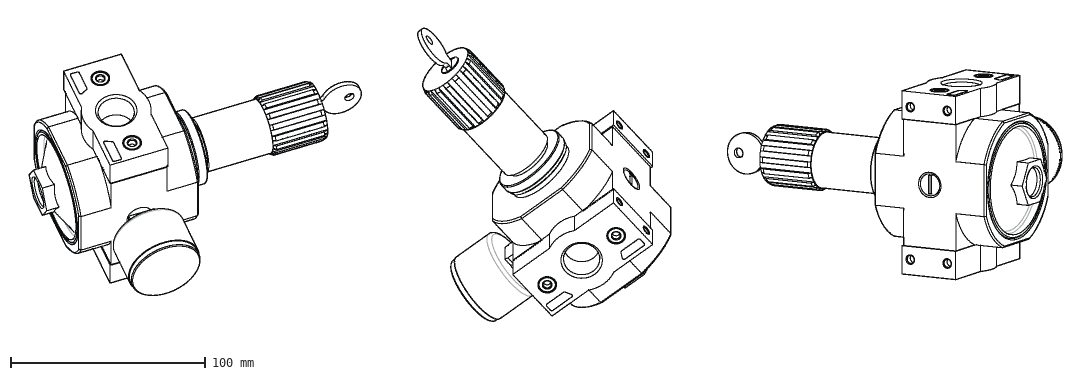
import cadquery as cq
import math


TOTAL_X = 106.1
TOTAL_Y = 179.0

HOUSING_SIDE = 66.2
HALF_SIDE = HOUSING_SIDE / 2
HOUSING_LENGTH = 65.9
HALF_LENGTH = HOUSING_LENGTH / 2
HOUSING_CORNER_DIA = 71.6
HOUSING_EDGE_CHAMFER = 0.9
CENTRE_BLOCK_WIDTH = 30.8

PORT_DIA = 18.6
PORT_MOUTH_DIA = 21.3

CAP_GROOVE_OUTER_R = 30.8
CAP_RIM_R = 29.5
CAP_GROOVE_DEPTH = 0.7
CAP_RECESS_R = 28.1
CAP_RECESS_FILLET = 0.9
CAP_FACE_R = 18.8
CAP_SLOPE = math.tan(math.radians(30))
HEX_FLATS = 22.2
HEX_CORNER_DIA = HEX_FLATS / math.cos(math.pi / 6)
HEX_END_Y = -43.1
HEX_RECESS_DIA = 17.0
HEX_RECESS_BORE_DIA = 15.2
HEX_RECESS_DEPTH = 2.9

BASE_R = 18.5
BASE_TOP = 35.8
STEP_R = 19.2
STEP_TOP = 37.6
COLLAR_R = 19.9
COLLAR_TOP = 43.0
COLLAR_CHAMFER = 0.5
NECK_R = 12.5
NECK_TOP = 45.5
SLEEVE_R = 14.5

KNOB_BOTTOM = 80.7
KNOB_TOP = 110.8
KNOB_ROOT_R = 15.0
KNOB_RIB_R = 16.0
RIB_COUNT = 16
RIB_WIDTH = 2.9
RIB_CHAMFER_LENGTH_BOTTOM = 1.5
RIB_CHAMFER_LENGTH_TOP = 2.1
LOCK_DIA = 11.0
LOCK_X = -3.4
LOCK_TOP = 111.3

KEY_THICKNESS = 2.5
KEY_TOP = HEX_END_Y + TOTAL_Y
KEY_HEAD_R = 10.7
KEY_HOLE_DIA = 5.0
KEY_HOLE_Y = 129.2
KEY_NECK_TOP_Z = 3.4
KEY_NECK_BOTTOM_Z = -4.3
KEY_FLARE_LENGTH = 1.6
KEY_FLARE_DROP = 1.6
KEY_NECK_FILLET = 2.7

PLATE_THICKNESS = 14.9
PLATE_LEFT_X = -34.2
PLATE_RIGHT_X = 32.8
PLATE_WIDTH = 31.9
PLATE_BOSS_DIA = 36.0
PLATE_OUTER_Z = HALF_SIDE + PLATE_THICKNESS
SIDE_HOLE_Y = 11.0
SIDE_HOLE_Z = 40.0
LABEL_BOTTOM_Y = -13.6
LABEL_HEIGHT = 4.8
LABEL_LENGTH = 14.9
LABEL_SLANT = 2.5
LABEL_INNER_X = 16.3
LABEL_FILLET = 0.9
LABEL_DEPTH = 0.2

SCREW_X = 23.0
SCREW_DIA = 8.8
SCREW_TIP_DIA = 8.5
SCREW_MOUTH_DIA = 9.7

SOCKET_MOUTH_DIA = 5.0
SOCKET_DIA = 4.1
SOCKET_DEPTH = 3.5
DRILL_POINT_ANGLE = 118.0

PLUG_DIA = 11.5
PLUG_MOUTH_DIA = 13.2
PLUG_MOUTH_DEPTH = 0.4
PLUG_FACE_X = -HALF_SIDE + PLUG_MOUTH_DEPTH
PLUG_LENGTH = 9.0
PLUG_SLOT_WIDTH = 1.6
PLUG_SLOT_LENGTH = 9.7
PLUG_SLOT_DEPTH = 1.5

GAUGE_STEM_R = 6.6
GAUGE_BLOCK_WIDTH_Y = 14.0
GAUGE_BLOCK_WIDTH_Z = 13.5
GAUGE_BLOCK_START = 36.3
GAUGE_BLOCK_CHAMFER_LENGTH = 2.0
GAUGE_BLOCK_CHAMFER_HEIGHT = 0.7
GAUGE_CASE_START = 45.3
GAUGE_CASE_R = 19.5
GAUGE_CASE_FILLET = 1.8
GAUGE_BEZEL_START = 68.7
GAUGE_BEZEL_R = 19.0
GAUGE_BEZEL_CHAMFER = 0.5
GAUGE_END = PLATE_LEFT_X + TOTAL_X


def revolve_about_y(points):
    """Solid of revolution about Y from (radius, y) points."""
    return cq.Workplane("XY").polyline(points).close().revolve(360, (0, 0), (0, 1))


def revolve_about_x(points):
    """Solid of revolution about X from (x, radius) points."""
    return cq.Workplane("XY").polyline(points).close().revolve(360, (0, 0), (1, 0))


def tapered_hole(mouth_dia, floor_dia, depth):
    """Cone cutter with its mouth on Z = 0, narrowing downwards."""
    return (
        cq.Workplane("XY").circle(mouth_dia / 2)
        .workplane(offset=-depth).circle(floor_dia / 2).loft()
    )


def mouth_chamfer(mouth_dia, bore_dia):
    """45 degree cutter for the mouth of a bore, with the mouth on Z = 0."""
    return tapered_hole(mouth_dia, bore_dia, (mouth_dia - bore_dia) / 2)


def drilled_socket():
    """Cutter for a small chamfered blind hole going down from Z = 0 to a drill point."""
    mouth_r = SOCKET_MOUTH_DIA / 2
    bore_r = SOCKET_DIA / 2
    point_depth = bore_r / math.tan(math.radians(DRILL_POINT_ANGLE / 2))
    profile = [
        (0, 0), (mouth_r, 0), (bore_r, bore_r - mouth_r),
        (bore_r, -SOCKET_DEPTH), (0, -SOCKET_DEPTH - point_depth),
    ]
    return cq.Workplane("XZ").polyline(profile).close().revolve(360, (0, 0), (0, 1))


def cone_y(radius):
    """Height of the bottom cap's cone at a radius."""
    return -HALF_LENGTH - (CAP_FACE_R - radius) * CAP_SLOPE


def make_housing():
    rounded = (
        cq.Workplane("XZ").circle(HOUSING_CORNER_DIA / 2).extrude(HALF_LENGTH, both=True)
        .intersect(cq.Workplane("XY").box(HOUSING_SIDE, HOUSING_LENGTH, HOUSING_SIDE))
        .faces("<Y or >Y").chamfer(HOUSING_EDGE_CHAMFER)
    )
    centre_block = cq.Workplane("XY").box(HOUSING_SIDE, CENTRE_BLOCK_WIDTH, HOUSING_SIDE)
    return rounded.union(centre_block)


def cut_cap_groove(housing):
    """V groove around the cap rim, in the housing's bottom face."""
    face = -HALF_LENGTH
    groove_mid_r = (CAP_GROOVE_OUTER_R + CAP_RIM_R) / 2
    groove = revolve_about_y([
        (CAP_RIM_R, face), (CAP_GROOVE_OUTER_R, face), (groove_mid_r, face + CAP_GROOVE_DEPTH),
    ])
    return housing.cut(groove)


def add_cap(housing):
    """Cone with a recessed hexagon at its tip, sunk into a round recess in the bottom face."""
    tip_r = HEX_FLATS / 2
    wall_base_y = cone_y(CAP_RECESS_R)
    blank = (
        cq.Workplane("XZ", origin=(0, wall_base_y, 0))
        .circle(CAP_RECESS_R).extrude(wall_base_y - HEX_END_Y)
    )
    hexagon = (
        cq.Workplane("XZ", origin=(0, wall_base_y, 0))
        .polygon(6, HEX_CORNER_DIA).extrude(wall_base_y - HEX_END_Y)
    )
    around_cone = (
        revolve_about_y([
            (tip_r, cone_y(tip_r)), (CAP_RECESS_R, wall_base_y),
            (CAP_RECESS_R, HEX_END_Y), (tip_r, HEX_END_Y),
        ])
        .edges(">Y").fillet(CAP_RECESS_FILLET)
        .cut(hexagon)
    )
    recess = (
        cq.Workplane("XY").circle(HEX_RECESS_BORE_DIA / 2).extrude(-HEX_RECESS_DEPTH)
        .union(mouth_chamfer(HEX_RECESS_DIA, HEX_RECESS_BORE_DIA))
        .rotate((0, 0, 0), (1, 0, 0), 90).translate((0, HEX_END_Y, 0))
    )
    return housing.union(blank).cut(around_cone).cut(recess)


def make_bonnet():
    return revolve_about_y([
        (0, HALF_LENGTH), (BASE_R, HALF_LENGTH), (BASE_R, BASE_TOP),
        (STEP_R, BASE_TOP), (STEP_R, STEP_TOP),
        (COLLAR_R - COLLAR_CHAMFER, STEP_TOP), (COLLAR_R, STEP_TOP + COLLAR_CHAMFER),
        (COLLAR_R, COLLAR_TOP - COLLAR_CHAMFER), (COLLAR_R - COLLAR_CHAMFER, COLLAR_TOP),
        (NECK_R, COLLAR_TOP), (NECK_R, NECK_TOP),
        (SLEEVE_R, NECK_TOP), (SLEEVE_R, KNOB_BOTTOM), (0, KNOB_BOTTOM),
    ])


def make_knob():
    """Knob core with ribs whose ends run down to the core, and the lock face on its end."""
    knob_length = KNOB_TOP - KNOB_BOTTOM
    envelope = revolve_about_y([
        (0, KNOB_BOTTOM), (KNOB_ROOT_R, KNOB_BOTTOM),
        (KNOB_RIB_R, KNOB_BOTTOM + RIB_CHAMFER_LENGTH_BOTTOM),
        (KNOB_RIB_R, KNOB_TOP - RIB_CHAMFER_LENGTH_TOP),
        (KNOB_ROOT_R, KNOB_TOP), (0, KNOB_TOP),
    ])
    ribbed = cq.Workplane("XZ", origin=(0, KNOB_TOP, 0)).circle(KNOB_ROOT_R).extrude(knob_length)
    bar = cq.Workplane("XY").box(3 * KNOB_RIB_R, knob_length, RIB_WIDTH)
    bar = bar.translate((0, (KNOB_TOP + KNOB_BOTTOM) / 2, 0))
    for index in range(RIB_COUNT // 2):
        ribbed = ribbed.union(bar.rotate((0, 0, 0), (0, 1, 0), index * 360 / RIB_COUNT))
    lock = (
        cq.Workplane("XZ", origin=(LOCK_X, LOCK_TOP, 0))
        .circle(LOCK_DIA / 2).extrude(LOCK_TOP - KNOB_TOP)
    )
    return ribbed.intersect(envelope).union(lock)


def make_port():
    """Cutter for the flow port, which runs through the housing and both plates."""
    bore = cq.Workplane("XY").circle(PORT_DIA / 2).extrude(PLATE_OUTER_Z, both=True)
    mouth = mouth_chamfer(PORT_MOUTH_DIA, PORT_DIA).translate((0, 0, PLATE_OUTER_Z))
    return bore.union(mouth).union(mouth.mirror("XY"))


def make_plug_blank():
    return cq.Workplane("YZ", origin=(PLUG_FACE_X, 0, 0)).circle(PLUG_DIA / 2).extrude(PLUG_LENGTH)


def make_regulator():
    """Housing with its bottom cap, bonnet and knob."""
    plug_mouth = (
        tapered_hole(PLUG_MOUTH_DIA, PLUG_DIA, PLUG_MOUTH_DEPTH)
        .rotate((0, 0, 0), (0, 1, 0), -90).translate((-HALF_SIDE, 0, 0))
    )
    return (
        add_cap(cut_cap_groove(make_housing()))
        .union(make_bonnet()).union(make_knob())
        .cut(make_port()).cut(plug_mouth).cut(make_plug_blank())
    )


def make_key():
    """Flat key standing on the lock face, its neck flared on the lower side."""
    head_y = KEY_TOP - KEY_HEAD_R
    flare_y = LOCK_TOP + KEY_FLARE_LENGTH
    neck_outline = [
        (LOCK_TOP, KEY_NECK_TOP_Z), (head_y, KEY_NECK_TOP_Z), (head_y, KEY_NECK_BOTTOM_Z),
        (flare_y, KEY_NECK_BOTTOM_Z), (LOCK_TOP, KEY_NECK_BOTTOM_Z - KEY_FLARE_DROP),
    ]
    neck = cq.Workplane("YZ").polyline(neck_outline).close().extrude(KEY_THICKNESS / 2, both=True)
    head = cq.Workplane("YZ").center(head_y, 0).circle(KEY_HEAD_R).extrude(KEY_THICKNESS / 2, both=True)
    hole = cq.Workplane("YZ").center(KEY_HOLE_Y, 0).circle(KEY_HOLE_DIA / 2).extrude(KEY_THICKNESS, both=True)
    corners = cq.selectors.BoxSelector(
        (-KEY_THICKNESS, (flare_y + head_y - KEY_HEAD_R) / 2, -KEY_HEAD_R),
        (KEY_THICKNESS, head_y, KEY_HEAD_R),
    )
    key = head.union(neck).edges("|X").edges(corners).fillet(KEY_NECK_FILLET).cut(hole)
    return key.translate((LOCK_X, 0, 0))


def make_label(side):
    """Cutter for the shallow label recess on one side (-1 or +1) of a plate's outer face."""
    top_y = LABEL_BOTTOM_Y + LABEL_HEIGHT
    outer_x = LABEL_INNER_X + LABEL_LENGTH
    outline = [
        (side * LABEL_INNER_X, LABEL_BOTTOM_Y), (side * outer_x, LABEL_BOTTOM_Y),
        (side * outer_x, top_y), (side * (LABEL_INNER_X + LABEL_SLANT), top_y),
    ]
    label = cq.Workplane("XY", origin=(0, 0, PLATE_OUTER_Z)).polyline(outline).close()
    return label.extrude(-LABEL_DEPTH).edges("|Z").fillet(LABEL_FILLET)


def make_upper_plate():
    plate = (
        cq.Workplane("XY", origin=((PLATE_LEFT_X + PLATE_RIGHT_X) / 2, 0, HALF_SIDE))
        .rect(PLATE_RIGHT_X - PLATE_LEFT_X, PLATE_WIDTH).extrude(PLATE_THICKNESS)
    )
    boss = cq.Workplane("XY", origin=(0, 0, HALF_SIDE)).circle(PLATE_BOSS_DIA / 2).extrude(PLATE_THICKNESS)
    plate = plate.union(boss).cut(make_port())
    screw_hole = (
        cq.Workplane("XY").circle(SCREW_DIA / 2).extrude(-PLATE_THICKNESS)
        .union(mouth_chamfer(SCREW_MOUTH_DIA, SCREW_DIA))
    )
    side_hole = drilled_socket().rotate((0, 0, 0), (0, 1, 0), -90)
    for side in (-1, 1):
        plate = plate.cut(screw_hole.translate((side * SCREW_X, 0, PLATE_OUTER_Z)))
        plate = plate.cut(side_hole.translate((PLATE_LEFT_X, side * SIDE_HOLE_Y, SIDE_HOLE_Z)))
        plate = plate.cut(make_label(side))
    return plate


def make_upper_screw(x):
    """Screw through the upper plate, flush with it and seated on the housing."""
    screw = (
        cq.Workplane("XY").circle(SCREW_DIA / 2).extrude(-PLATE_THICKNESS)
        .faces(">Z").chamfer((SCREW_DIA - SCREW_TIP_DIA) / 2)
        .cut(drilled_socket())
    )
    return screw.translate((x, 0, PLATE_OUTER_Z))


def make_plug():
    slot = cq.Workplane("XY").box(2 * PLUG_SLOT_DEPTH, PLUG_SLOT_WIDTH, PLUG_SLOT_LENGTH)
    return make_plug_blank().cut(slot.translate((PLUG_FACE_X, 0, 0)))


def make_gauge():
    bezel_end_r = GAUGE_BEZEL_R - GAUGE_BEZEL_CHAMFER
    stem_length = GAUGE_CASE_START - HALF_SIDE
    block_length = GAUGE_CASE_START - GAUGE_BLOCK_START
    stem = cq.Workplane("YZ", origin=(HALF_SIDE, 0, 0)).circle(GAUGE_STEM_R).extrude(stem_length)
    block = (
        cq.Workplane("YZ", origin=(GAUGE_BLOCK_START, 0, 0))
        .rect(GAUGE_BLOCK_WIDTH_Y, GAUGE_BLOCK_WIDTH_Z).extrude(block_length)
        .faces(">X").edges("|Y").chamfer(GAUGE_BLOCK_CHAMFER_LENGTH, GAUGE_BLOCK_CHAMFER_HEIGHT)
    )
    case = (
        revolve_about_x([
            (GAUGE_CASE_START, 0), (GAUGE_CASE_START, GAUGE_CASE_R),
            (GAUGE_BEZEL_START, GAUGE_CASE_R), (GAUGE_BEZEL_START, GAUGE_BEZEL_R),
            (GAUGE_END - GAUGE_BEZEL_CHAMFER, GAUGE_BEZEL_R), (GAUGE_END, bezel_end_r), (GAUGE_END, 0),
        ])
        .faces("<X").edges().fillet(GAUGE_CASE_FILLET)
    )
    return case.union(block).union(stem)


regulator = make_regulator()
key = make_key()
plug = make_plug()
gauge = make_gauge()
upper_plate = make_upper_plate()
plates = [upper_plate, upper_plate.mirror("XY")]
screws = []
for side in (-1, 1):
    upper_screw = make_upper_screw(side * SCREW_X)
    screws += [upper_screw, upper_screw.mirror("XY")]

result = cq.Compound.makeCompound([
    regulator.val(),
    key.val(),
    plug.val(),
    gauge.val(),
    *[plate.val() for plate in plates],
    *[screw.val() for screw in screws],
])